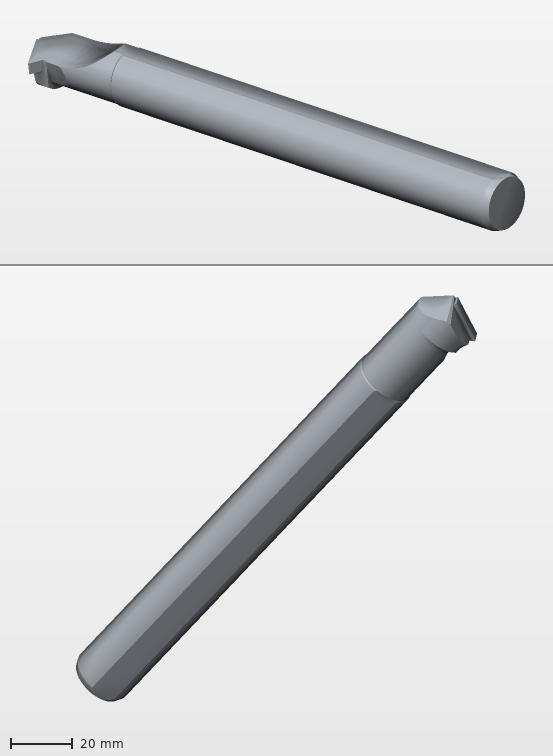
import cadquery as cq
import math

length = 200.0
shank_radius = 10.0
shank_start = 40.0
flat_height = 9.0
shank_edge = 0.5
end_chamfer_length = 2.5
end_chamfer_depth = 1.0
neck_radius = 9.7

head_radius = 10.5
head_length = 11.8
head_y = -1.5
head_z = -0.5
flank_draft = 7.0
nose_x = 0.2
chamfer_offset = 1.2
flank_inset = 0.5
side_y = -9.2
outline_end = 30.0
outline_top = 4.0

rake_angle = 9.5
rake_height = 2.1
scoop_start = 17.5
scoop_radius = 26.8
scoop_sweep_radius = 34.0

insert_side = 16.0
insert_thickness = 4.0
insert_y = 0.5
insert_tip_radius = 0.3

relief_angle = 20.0
relief_distance = 8.5
relief_end = 15.2
relief_radius = 11.8

clearance = 40.0
margin = 2.0
arc_turn = math.radians(45)
triangle_slope = math.sqrt(3)


def rod(radius, start, end, y=0, z=0):
    """Round bar along X."""
    return cq.Workplane("YZ", origin=(start, y, z)).circle(radius).extrude(end - start)


def rake_plane():
    """Plane of the rake face, which falls toward -Y."""
    tilt = math.radians(rake_angle)
    return cq.Plane(
        origin=(0, 0, rake_height), xDir=(1, 0, 0), normal=(0, -math.sin(tilt), math.cos(tilt))
    )


def make_insert():
    height = insert_side * triangle_slope / 2
    tip = insert_tip_radius * (triangle_slope - 1)
    triangle = [
        (-tip, insert_y),
        (insert_side - tip, insert_y),
        (insert_side / 2 - tip, insert_y - height),
    ]
    return (
        cq.Workplane(rake_plane())
        .polyline(triangle)
        .close()
        .extrude(-insert_thickness)
        .edges("<X or <Y")
        .fillet(insert_tip_radius)
    )


def make_shank():
    shank = rod(shank_radius, shank_start, length).faces("<X").chamfer(shank_edge)
    shank = shank.faces(">X").edges().chamfer(end_chamfer_length, end_chamfer_depth)
    flats = cq.Workplane("XY").box(2 * length, 2 * shank_radius, 2 * flat_height)
    return shank.intersect(flats)


def make_neck():
    neck = rod(neck_radius, head_length, shank_start)
    top_flat = (
        cq.Workplane("XY", origin=(0, 0, flat_height))
        .rect(2 * length, clearance)
        .extrude(clearance)
    )
    return neck.cut(top_flat).cut(relief_cutter())


def relief_cutter():
    """Flat side cut that curves outward at its inner end."""
    tilt = math.radians(relief_angle)
    profile_plane = cq.Plane(
        origin=(0, 0, 0), xDir=(1, 0, 0), normal=(0, -math.sin(tilt), math.cos(tilt))
    )
    return (
        cq.Workplane(profile_plane)
        .moveTo(0, -relief_distance)
        .lineTo(relief_end, -relief_distance)
        .threePointArc(
            (
                relief_end + relief_radius * math.sin(arc_turn),
                -relief_distance - relief_radius * (1 - math.cos(arc_turn)),
            ),
            (relief_end + relief_radius, -relief_distance - relief_radius),
        )
        .lineTo(0, -relief_distance - relief_radius)
        .close()
        .extrude(clearance, both=True)
    )


def make_head():
    """Two overlapping rounds trimmed to the drafted plan outline of the tip."""
    stock = rod(neck_radius, 0, head_length)
    stock = stock.union(rod(head_radius, 0, head_length, head_y, head_z))
    inset = 2 * flank_inset / triangle_slope
    insert_point_y = insert_y - insert_side * triangle_slope / 2
    heel_x = insert_side - inset - (insert_y - side_y) / triangle_slope
    outline = [
        (nose_x, insert_y + (inset - nose_x) * triangle_slope),
        (inset, insert_y),
        (insert_side / 2, insert_point_y + inset * triangle_slope),
        (heel_x, side_y),
        (outline_end, side_y),
        (outline_end, outline_end),
        (nose_x, outline_end),
    ]
    depth = outline_top - head_z + head_radius + margin
    trim = (
        cq.Workplane("XY", origin=(0, 0, outline_top))
        .polyline(outline)
        .close()
        .extrude(-depth, taper=flank_draft)
    )
    corners = [
        (-margin, chamfer_offset - margin),
        (clearance, clearance + chamfer_offset),
        (-margin, clearance),
    ]
    chamfer = (
        cq.Workplane("XY")
        .polyline(corners)
        .close()
        .extrude(clearance, both=True)
    )
    return stock.intersect(trim).cut(chamfer)


def scoop_cutter():
    """Space above the rake face, ending in a concave round swept around its normal."""
    plane = rake_plane()
    section = cq.Plane(origin=plane.origin, xDir=plane.xDir, normal=-plane.yDir)
    sweep_x = scoop_start - scoop_sweep_radius
    return (
        cq.Workplane(section)
        .moveTo(sweep_x, 0)
        .lineTo(scoop_start, 0)
        .threePointArc(
            (
                scoop_start + scoop_radius * math.sin(arc_turn),
                scoop_radius * (1 - math.cos(arc_turn)),
            ),
            (scoop_start + scoop_radius, scoop_radius),
        )
        .lineTo(sweep_x, scoop_radius)
        .close()
        .revolve(360, (sweep_x, 0), (sweep_x, 1))
    )


insert = make_insert()
holder = make_shank().union(make_neck()).union(make_head())
holder = holder.cut(scoop_cutter()).cut(insert)

result = cq.Compound.makeCompound([holder.val(), insert.val()])